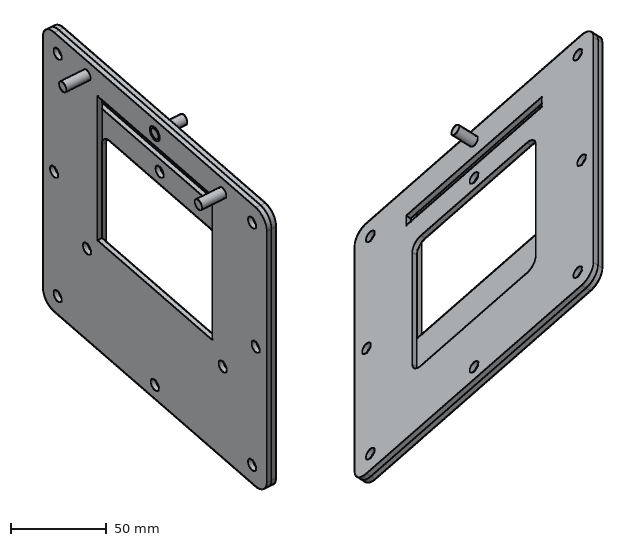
import cadquery as cq

side = 193.7
corner_radius = 9.7
plate_thickness = 3.1
front_y = -plate_thickness
rear_y = plate_thickness

hole_diameter = 7.0
corner_hole_offset = 84.0
edge_hole_offset = 87.2

blind_hole_x = 58.7
blind_hole_z = -33.5

window_width = 99.2
window_top = 78.6
window_bottom = -21.3

rear_window_width = 100.0
rear_window_fillet = 7.0
slot_width = 110.0
slot_top = 75.7
bar_top = 68.2
bar_bottom = 50.4
bar_hole_z = 59.0

pin_diameter = 6.4
pin_length = 19.0
pin_z = 87.2
front_pin_x = blind_hole_x
bushing_diameter = 8.7


def cylinder(diameter, x, z, y_start, y_end):
    """Cylinder along Y between two Y positions."""
    base = cq.Workplane("XZ", origin=(0, y_end, 0)).center(x, z)
    return base.circle(diameter / 2).extrude(y_end - y_start)


def block(width, bottom, top, y_start, y_end):
    """Box centred on X = 0 between the given Z and Y positions."""
    base = cq.Workplane("XZ", origin=(0, y_end, (bottom + top) / 2))
    return base.rect(width, top - bottom).extrude(y_end - y_start)


def make_blank(y_start):
    """Rounded square sheet with the screw holes of both plates."""
    y_end = y_start + plate_thickness
    blank = block(side, -side / 2, side / 2, y_start, y_end).edges("|Y").fillet(corner_radius)
    corner_offsets = (-corner_hole_offset, corner_hole_offset)
    corner_holes = [(x, z) for x in corner_offsets for z in corner_offsets]
    edge_holes = [(-edge_hole_offset, 0), (edge_hole_offset, 0), (0, -edge_hole_offset)]
    for x, z in corner_holes + edge_holes:
        blank = blank.cut(cylinder(hole_diameter, x, z, y_start, y_end))
    return blank


def make_front_plate():
    plate = make_blank(front_y)
    plate = plate.cut(block(window_width, window_bottom, window_top, front_y, 0))
    for x in (-blind_hole_x, blind_hole_x):
        plate = plate.cut(cylinder(hole_diameter, x, blind_hole_z, front_y, 0))
    for x in (-front_pin_x, front_pin_x):
        plate = plate.cut(cylinder(pin_diameter, x, pin_z, front_y, 0))
    return plate.cut(cylinder(bushing_diameter, 0, pin_z, front_y, 0))


def make_rear_plate():
    plate = make_blank(0)
    slot = block(slot_width, bar_top, slot_top, 0, rear_y)
    window = block(rear_window_width, -bar_bottom, bar_bottom, 0, rear_y)
    window = window.edges("|Y").fillet(rear_window_fillet)
    plate = plate.cut(slot).cut(window)
    plate = plate.cut(cylinder(hole_diameter, 0, bar_hole_z, 0, rear_y))
    return plate.cut(cylinder(pin_diameter, 0, pin_z, 0, rear_y))


def make_front_pin(x):
    """Pin through the front plate, seated on the rear plate."""
    return cylinder(pin_diameter, x, pin_z, -pin_length, 0)


def make_rear_pin():
    """Pin flush with the front face, through the bushing and the rear plate."""
    return cylinder(pin_diameter, 0, pin_z, front_y, front_y + pin_length)


def make_bushing():
    """Ring around the rear pin, filling its hole in the front plate."""
    ring = cylinder(bushing_diameter, 0, pin_z, front_y, 0)
    return ring.cut(cylinder(pin_diameter, 0, pin_z, front_y, 0))


front_plate = make_front_plate()
rear_plate = make_rear_plate()
front_pins = [make_front_pin(x) for x in (-front_pin_x, front_pin_x)]
rear_pin = make_rear_pin()
bushing = make_bushing()

result = cq.Compound.makeCompound([
    front_plate.val(),
    rear_plate.val(),
    *[pin.val() for pin in front_pins],
    rear_pin.val(),
    bushing.val(),
])